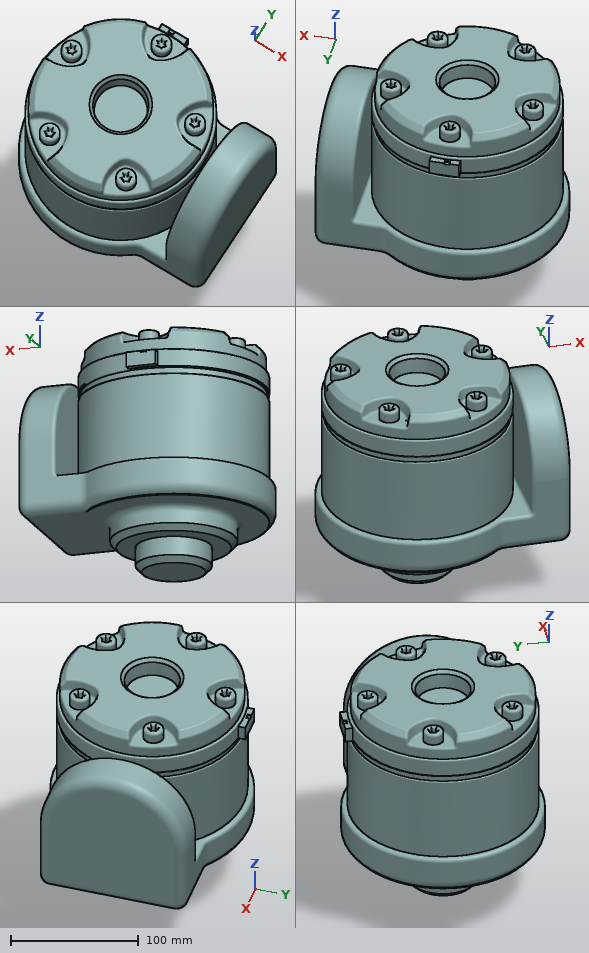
import cadquery as cq
import math

SHAFT_CHAMFER = 5.0
NECK_BOTTOM = 20.0
NECK_CHAMFER = 5.0
BASE_BOTTOM = 40.0
BASE_TOP = 70.0
GROOVE_BOTTOM = 140.0
GROOVE_TOP = 145.0
BAND_TOP = 160.0
OVERALL_HEIGHT = 180.0

SHAFT_RADIUS = 30.0
NECK_RADIUS = 50.0
NECK_FILLET = 5.0
BASE_RADIUS = 80.0
BODY_RADIUS = 75.0
BODY_EDGE_FILLET = 1.0
GROOVE_DEPTH = 1.5

ARM_END_X = 110.0
ARM_INNER_X = 78.0
ARM_HALF_WIDTH = 60.0
ARM_TOP = 160.0
ARM_BLEND_RADIUS = 12.0
OUTER_FILLET = 9.0
INNER_FILLET = 3.0

CAP_RADIUS = 72.5
CAP_CHAMFER = 5.0
CAP_FILLET = 2.0
BORE_RADIUS = 22.1
BORE_DEPTH = 15.0
BORE_DRAFT_ANGLE = 5.0
BORE_CHAMFER = 2.5

SCREW_COUNT = 5
SCREW_CIRCLE_RADIUS = 60.0
POCKET_DEPTH = 10.0
POCKET_DRAFT_ANGLE = 10.0
POCKET_FLOOR_FILLET = 2.0
FLANK_RADIUS = 28.1
FLANK_CENTER_OFFSET = 8.0
FLANK_CENTER_DISTANCE = 71.5
TIP_RADIUS = 10.2
POCKET_END = CAP_RADIUS + 10.0

HEAD_RADIUS = 8.0
HEAD_HEIGHT = 9.0
HEAD_FILLET = 2.0
SOCKET_ACROSS_FLATS = 6.0
SOCKET_DEPTH = 5.0
SOCKET_FILLET = 1.2

SURFACE_TOLERANCE = 1e-4

PLATE_WIDTH = 24.0
PLATE_BOTTOM = 146.0
PLATE_TOP = 158.0
PLATE_FACE_Y = BASE_RADIUS
PLATE_BACK_Y = BODY_RADIUS - 5.0
PLATE_NOTCH_WIDTH = 4.2
PLATE_NOTCH_LENGTH = 3.0
PLATE_NOTCH_DEPTH = 1.0


def cylinder(radius, bottom, top):
    return cq.Workplane("XY").workplane(offset=bottom).circle(radius).extrude(top - bottom)


def block(low_corner, high_corner):
    sizes = [high - low for low, high in zip(low_corner, high_corner)]
    return cq.Workplane("XY").box(*sizes, centered=False).translate(low_corner)


def make_base():
    """Round base and side arm, blended into one casting."""
    arm_arc_center_z = ARM_TOP - ARM_HALF_WIDTH
    blend_center_y = ARM_HALF_WIDTH + ARM_BLEND_RADIUS
    blend_center_x = math.sqrt((BASE_RADIUS + ARM_BLEND_RADIUS) ** 2 - blend_center_y**2)
    blend_share = BASE_RADIUS / (BASE_RADIUS + ARM_BLEND_RADIUS)
    touch_x = blend_center_x * blend_share
    touch_y = blend_center_y * blend_share

    foot = (
        cq.Workplane("XY")
        .workplane(offset=BASE_BOTTOM)
        .moveTo(ARM_END_X, -ARM_HALF_WIDTH)
        .lineTo(ARM_END_X, ARM_HALF_WIDTH)
        .lineTo(blend_center_x, ARM_HALF_WIDTH)
        .radiusArc((touch_x, touch_y), ARM_BLEND_RADIUS)
        .threePointArc((-BASE_RADIUS, 0), (touch_x, -touch_y))
        .radiusArc((blend_center_x, -ARM_HALF_WIDTH), ARM_BLEND_RADIUS)
        .close()
        .extrude(BASE_TOP - BASE_BOTTOM)
    )
    upright = (
        cq.Workplane("YZ")
        .workplane(offset=ARM_INNER_X)
        .moveTo(-ARM_HALF_WIDTH, BASE_BOTTOM)
        .lineTo(ARM_HALF_WIDTH, BASE_BOTTOM)
        .lineTo(ARM_HALF_WIDTH, arm_arc_center_z)
        .threePointArc((0, ARM_TOP), (-ARM_HALF_WIDTH, arm_arc_center_z))
        .close()
        .extrude(ARM_END_X - ARM_INNER_X)
    )
    base = foot.union(upright).clean()
    inner_corner = cq.selectors.NearestToPointSelector((ARM_INNER_X, 0, BASE_TOP))
    base = base.edges(inner_corner).fillet(INNER_FILLET)
    base = base.faces("<Z or >X").edges().fillet(OUTER_FILLET)
    foot_top = cq.selectors.NearestToPointSelector((0, 0, BASE_TOP))
    return base.faces(foot_top).edges("not(|Y)").fillet(INNER_FILLET)


def make_shaft_and_neck():
    """Stepped end below the base, with a concave fillet where the neck meets the base."""
    shaft = cylinder(SHAFT_RADIUS, 0, NECK_BOTTOM).faces("<Z").chamfer(SHAFT_CHAMFER)
    neck = cylinder(NECK_RADIUS, NECK_BOTTOM, BASE_BOTTOM).faces("<Z").chamfer(NECK_CHAMFER)
    flare = (
        cq.Workplane("XZ")
        .moveTo(0, BASE_BOTTOM - NECK_FILLET)
        .lineTo(NECK_RADIUS, BASE_BOTTOM - NECK_FILLET)
        .radiusArc((NECK_RADIUS + NECK_FILLET, BASE_BOTTOM), NECK_FILLET)
        .lineTo(0, BASE_BOTTOM)
        .close()
        .revolve(360, (0, 0), (0, 1))
    )
    return shaft.union(neck).union(flare)


def make_body():
    """Main cylinder, grooved below its top band."""
    lower = cylinder(BODY_RADIUS, BASE_BOTTOM, GROOVE_BOTTOM).faces(">Z").edges().fillet(BODY_EDGE_FILLET)
    groove = cylinder(BODY_RADIUS - GROOVE_DEPTH, BASE_BOTTOM, BAND_TOP)
    band = cylinder(BODY_RADIUS, GROOVE_TOP, BAND_TOP).edges("%CIRCLE").fillet(BODY_EDGE_FILLET)
    return lower.union(groove).union(band)


def pocket_cutter():
    """Drafted pocket shape for the screw on the +Y axis, widest at the top of the cap."""
    tip_center_y = FLANK_CENTER_DISTANCE - math.sqrt(
        (FLANK_RADIUS - TIP_RADIUS) ** 2 - FLANK_CENTER_OFFSET**2
    )
    to_tip = math.atan2(tip_center_y - FLANK_CENTER_DISTANCE, -FLANK_CENTER_OFFSET)
    joint_x = FLANK_CENTER_OFFSET + FLANK_RADIUS * math.cos(to_tip)
    joint_y = FLANK_CENTER_DISTANCE + FLANK_RADIUS * math.sin(to_tip)
    half_width = FLANK_RADIUS - FLANK_CENTER_OFFSET
    return (
        cq.Workplane("XY")
        .workplane(offset=OVERALL_HEIGHT)
        .moveTo(-half_width, POCKET_END)
        .lineTo(-half_width, FLANK_CENTER_DISTANCE)
        .radiusArc((joint_x, joint_y), -FLANK_RADIUS)
        .radiusArc((-joint_x, joint_y), -TIP_RADIUS)
        .radiusArc((half_width, FLANK_CENTER_DISTANCE), -FLANK_RADIUS)
        .lineTo(half_width, POCKET_END)
        .close()
        .extrude(-POCKET_DEPTH, taper=POCKET_DRAFT_ANGLE)
        .faces("<Z")
        .edges("not |X")
        .fillet(POCKET_FLOOR_FILLET)
    )


def screw_angles():
    return [index * 360 / SCREW_COUNT for index in range(SCREW_COUNT)]


def around_axis(shape, angle):
    return shape.rotate((0, 0, 0), (0, 0, 1), angle)


def outer_edges(cap, blank):
    """Edges of the cap on the surface of its blank, without the bottom edge and the straight seams."""
    surface = blank.Shells()[0]
    return [
        edge
        for edge in cap.edges("(not %LINE) and (not <Z)").vals()
        if surface.distance(cq.Vertex.makeVertex(*edge.positionAt(0.5).toTuple())) < SURFACE_TOLERANCE
    ]


def cut_bore(cap):
    """Blind drafted bore with a conical mouth in the middle of the cap."""
    bore = (
        cq.Workplane("XY")
        .workplane(offset=OVERALL_HEIGHT)
        .circle(BORE_RADIUS)
        .extrude(-BORE_DEPTH, taper=BORE_DRAFT_ANGLE)
    )
    mouth = cylinder(BORE_RADIUS + BORE_CHAMFER, OVERALL_HEIGHT - 2 * BORE_CHAMFER, OVERALL_HEIGHT)
    mouth = mouth.faces("<Z").chamfer(2 * BORE_CHAMFER - SURFACE_TOLERANCE, 2 * BORE_CHAMFER - SURFACE_TOLERANCE)
    return cap.cut(bore).cut(mouth)


def make_cap():
    """Chamfered lid with a bore and one drafted pocket per screw, its outer edges all rounded."""
    blank = cylinder(CAP_RADIUS, BAND_TOP, OVERALL_HEIGHT).faces(">Z").chamfer(CAP_CHAMFER)
    cap = blank
    cutter = pocket_cutter()
    for angle in screw_angles():
        cap = cap.cut(around_axis(cutter, angle))
    cap = cap.newObject(outer_edges(cap, blank.val())).fillet(CAP_FILLET)
    return cut_bore(cap)


def make_screw():
    """Socket head on the pocket floor at the +Y screw position."""
    floor = OVERALL_HEIGHT - POCKET_DEPTH
    head = cylinder(HEAD_RADIUS, floor, floor + HEAD_HEIGHT).faces(">Z").edges().fillet(HEAD_FILLET)
    socket_corners = SOCKET_ACROSS_FLATS / math.cos(math.pi / 6)
    socket = (
        cq.Workplane("XY")
        .workplane(offset=floor + HEAD_HEIGHT)
        .polygon(6, socket_corners)
        .extrude(-SOCKET_DEPTH)
        .faces("<Z")
        .edges()
        .fillet(SOCKET_FILLET)
    )
    head = head.cut(socket)
    head = head.faces(">Z").edges("not %CIRCLE").fillet(SOCKET_FILLET)
    return head.translate((0, SCREW_CIRCLE_RADIUS, 0))


def make_plate():
    """Name plate standing off the band, with a small notch in its top edge."""
    plate = block(
        (-PLATE_WIDTH / 2, PLATE_BACK_Y, PLATE_BOTTOM),
        (PLATE_WIDTH / 2, PLATE_FACE_Y, PLATE_TOP),
    )
    notch = block(
        (-PLATE_NOTCH_WIDTH, PLATE_FACE_Y - PLATE_NOTCH_LENGTH, PLATE_TOP - PLATE_NOTCH_DEPTH),
        (0, PLATE_FACE_Y, PLATE_TOP),
    )
    return plate.cut(notch)


result = make_base().union(make_shaft_and_neck()).union(make_body()).union(make_cap())
screw = make_screw()
for angle in screw_angles():
    result = result.union(around_axis(screw, angle))
result = result.union(make_plate())